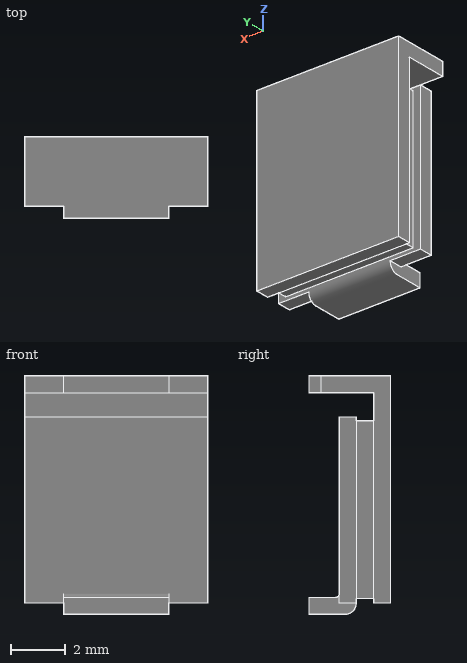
import cadquery as cq

width = 6.71
depth = 3.0
height = 8.75
thickness = 0.63

plate_bottom = 0.41
front_plate_top = 7.24
block_bottom = 0.58
block_top = 7.105
block_side_inset = 0.34

flange_depth = 2.555
tab_width = 3.85

outer_bend_radius = plate_bottom
inner_bend_radius = 0.12

block_back = -thickness
front_plate_back = block_back - thickness
front_plate_face = front_plate_back - thickness


def centred_box(box_width, y_back, y_front, z_bottom, z_top):
    """Box centred on X = 0, between the given Y and Z limits."""
    return cq.Workplane("XY").box(
        box_width, y_back - y_front, z_top - z_bottom, centered=(True, False, False)
    ).translate((0, y_front, z_bottom))


def make_back_bracket():
    """Back plate with a flange across its top and a tab on the flange."""
    flange_bottom = height - thickness
    plate = centred_box(width, 0, -thickness, plate_bottom, height)
    flange = centred_box(width, 0, -flange_depth, flange_bottom, height)
    tab = centred_box(tab_width, 0, -depth, flange_bottom, height)
    return plate.union(flange).union(tab)


def make_foot():
    """Foot bent forward from the lower edge of the front plate."""
    bend_top = thickness + inner_bend_radius
    profile = (
        cq.Workplane("YZ", origin=(-tab_width / 2, 0, 0))
        .moveTo(-depth, 0)
        .lineTo(front_plate_back - outer_bend_radius, 0)
        .radiusArc((front_plate_back, outer_bend_radius), -outer_bend_radius)
        .lineTo(front_plate_back, bend_top)
        .lineTo(front_plate_face, bend_top)
        .radiusArc((front_plate_face - inner_bend_radius, thickness), inner_bend_radius)
        .lineTo(-depth, thickness)
        .close()
    )
    return profile.extrude(tab_width)


block_width = width - 2 * block_side_inset
block = centred_box(block_width, block_back, front_plate_back, block_bottom, block_top)
front_plate = centred_box(width, front_plate_back, front_plate_face, plate_bottom, front_plate_top)

result = make_back_bracket().union(block).union(front_plate).union(make_foot())